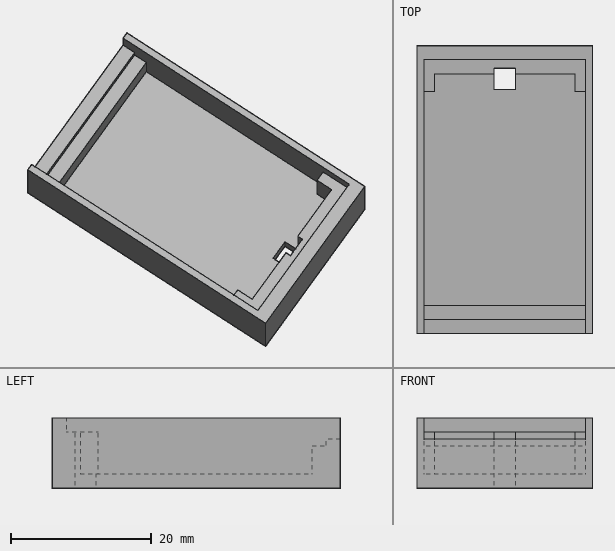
import cadquery as cq

width = 25.0
length = 41.0
height = 10.0

side_wall = 1.0
end_wall = 2.0
floor_thickness = 2.0

ledge_depth = 2.0
ledge_height = 8.0
front_wall_height = 7.0
front_ledge_height = 6.0

post_width = 1.5
post_length = 2.5

opening_size = 3.0
opening_rear_offset = 3.25

inner_width = width - 2 * side_wall
rear_ledge_face = length / 2 - end_wall - ledge_depth
front_ledge_face = -length / 2 + end_wall + ledge_depth


def block(size_x, y_min, y_max, z_min, z_max, center_x=0):
    """Box centred on center_x that spans the given Y and Z limits."""
    return (
        cq.Workplane("XY", origin=(center_x, (y_min + y_max) / 2, z_min))
        .box(size_x, y_max - y_min, z_max - z_min, centered=(True, True, False))
    )


tray = block(width, -length / 2, length / 2, 0, height)

tray = tray.cut(block(inner_width, front_ledge_face, rear_ledge_face, floor_thickness, height))

tray = tray.cut(block(inner_width, front_ledge_face, length / 2 - end_wall, ledge_height, height))

tray = tray.cut(block(inner_width, -length / 2, front_ledge_face, front_wall_height, height))

front_wall_face = -length / 2 + end_wall
tray = tray.cut(block(inner_width, front_wall_face, front_ledge_face, front_ledge_height, height))

post_center = (inner_width - post_width) / 2
for side in (-1, 1):
    post = block(
        post_width,
        rear_ledge_face - post_length,
        rear_ledge_face,
        floor_thickness,
        ledge_height,
        side * post_center,
    )
    tray = tray.union(post)

opening_rear = length / 2 - opening_rear_offset
result = tray.cut(block(opening_size, opening_rear - opening_size, opening_rear, 0, height))